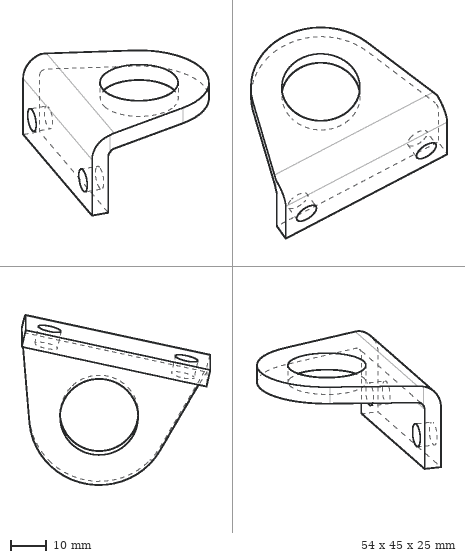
import cadquery as cq
import math

width = 54.0
height = 25.0
thickness = 5.0
inner_bend_radius = 2.0
outer_bend_radius = inner_bend_radius + thickness

eye_y = 25.0
eye_radius = 20.0
eye_hole_diameter = 22.3
depth = eye_y + eye_radius
taper_start_y = 5.4

mount_hole_diameter = 6.6
mount_hole_spacing = 40.0
mount_hole_z = 8.0


def bent_strip():
    """L-shaped side profile, extruded across the full width."""
    half_bend_angle = math.radians(45)
    outer_mid = outer_bend_radius * (1 - math.cos(half_bend_angle))
    inner_mid = thickness + inner_bend_radius * (1 - math.cos(half_bend_angle))
    profile = (
        cq.Workplane("YZ")
        .moveTo(0, 0)
        .lineTo(0, height - outer_bend_radius)
        .threePointArc((outer_mid, height - outer_mid), (outer_bend_radius, height))
        .lineTo(depth, height)
        .lineTo(depth, height - thickness)
        .lineTo(outer_bend_radius, height - thickness)
        .threePointArc((inner_mid, height - inner_mid), (thickness, height - outer_bend_radius))
        .lineTo(thickness, 0)
        .close()
    )
    return profile.extrude(width / 2, both=True)


def plan_outline():
    """Plan shape: straight base, then sides tapering tangentially into the round end."""
    half_width = width / 2
    corner_drop = eye_y - taper_start_y
    corner_distance = math.hypot(half_width, corner_drop)
    tangent_angle = math.acos(eye_radius / corner_distance) - math.atan2(corner_drop, half_width)
    tangent_x = eye_radius * math.cos(tangent_angle)
    tangent_y = eye_y + eye_radius * math.sin(tangent_angle)
    return (
        cq.Workplane("XY")
        .moveTo(-half_width, 0)
        .lineTo(half_width, 0)
        .lineTo(half_width, taper_start_y)
        .lineTo(tangent_x, tangent_y)
        .threePointArc((0, depth), (-tangent_x, tangent_y))
        .lineTo(-half_width, taper_start_y)
        .close()
        .extrude(height)
    )


def eye_hole():
    """Large hole through the horizontal plate, concentric with the round end."""
    return cq.Workplane("XY").center(0, eye_y).circle(eye_hole_diameter / 2).extrude(height)


def mount_holes():
    """Pair of holes through the vertical leg."""
    half_spacing = mount_hole_spacing / 2
    return (
        cq.Workplane("XZ")
        .pushPoints([(-half_spacing, mount_hole_z), (half_spacing, mount_hole_z)])
        .circle(mount_hole_diameter / 2)
        .extrude(-thickness)
    )


result = bent_strip().intersect(plan_outline()).cut(eye_hole()).cut(mount_holes())